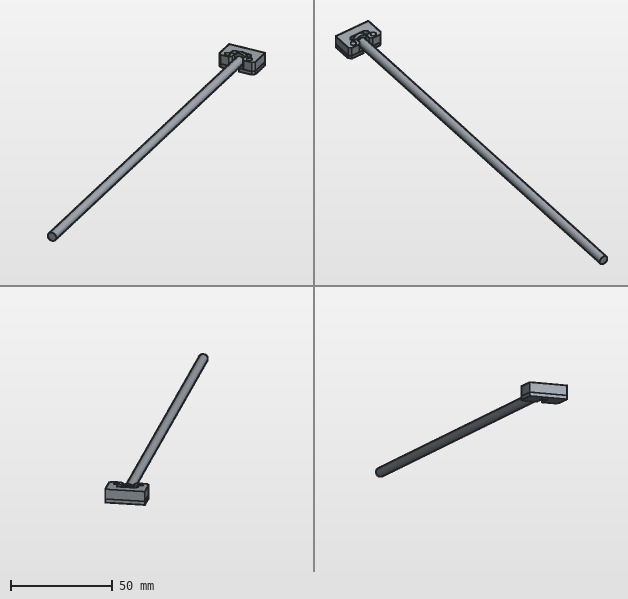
import cadquery as cq

total_length = 212.0
block_width = 20.0
block_depth = 11.9
block_height = 7.0
plate_thickness = 2.0
housing_height = block_height - plate_thickness
corner_chamfer = 1.3
front_y = -block_depth

cable_diameter = 4.7
cable_axis_z = 4.0
stop_diameter = 7.6
stop_length = 2.8
stop_back_chamfer = 0.6
stop_back_y = -5.0
stop_front_y = stop_back_y - stop_length

pocket_width = 10.5
pocket_back_y = -4.9
pocket_front_y = stop_front_y
pocket_fillet = 1.7
slot_width = 5.7
slot_mouth_chamfer = 1.3

notch_width = 3.0

pin_diameter = 2.8
pin_spacing = 12.0
pin_front_distance = 2.3
pin_y = front_y + pin_front_distance
pin_side_x = pin_spacing / 2


def chamfered_slab(bottom_z, height):
    """Rectangular slab with chamfered front corners."""
    slab = cq.Workplane("XY").box(block_width, block_depth, height, centered=(True, False, False))
    slab = slab.translate((0, front_y, bottom_z))
    return slab.edges("|Z and <Y").chamfer(corner_chamfer)


def cylinder_along_y(diameter, back_y, length):
    """Cylinder on the cable axis, running from back_y toward -Y."""
    plane = cq.Plane(origin=(0, back_y, cable_axis_z), xDir=(1, 0, 0), normal=(0, -1, 0))
    return cq.Workplane(plane).circle(diameter / 2).extrude(length)


def make_pin(x):
    """Upright pin, flush with the top of the housing and standing on the plate."""
    pin = cq.Workplane("XY", origin=(x, pin_y, plate_thickness))
    return pin.circle(pin_diameter / 2).extrude(housing_height)


def make_cable():
    """Long round cable with its thicker end stop, chamfered at the back."""
    cable = cylinder_along_y(cable_diameter, stop_front_y, total_length + stop_front_y)
    stop = cylinder_along_y(stop_diameter, stop_back_y, stop_length)
    stop = stop.faces(">Y").chamfer(stop_back_chamfer)
    return cable.union(stop)


def make_pocket():
    """Volume around the end stop, with rounded back corners."""
    pocket_length = pocket_back_y - pocket_front_y
    pocket = cq.Workplane("XY").box(pocket_width, pocket_length, housing_height, centered=(True, False, False))
    pocket = pocket.translate((0, pocket_front_y, plate_thickness))
    return pocket.edges("|Z and >Y").fillet(pocket_fillet)


def make_slot():
    """Volume of the cable slot, widening at its mouth."""
    half_width = slot_width / 2
    half_mouth = half_width + slot_mouth_chamfer
    mouth_back_y = front_y + slot_mouth_chamfer
    outline = [
        (-half_width, pocket_front_y),
        (-half_width, mouth_back_y),
        (-half_mouth, front_y),
        (half_mouth, front_y),
        (half_width, mouth_back_y),
        (half_width, pocket_front_y),
    ]
    slot = cq.Workplane("XY", origin=(0, 0, plate_thickness))
    return slot.polyline(outline).close().extrude(housing_height)


def make_plate_notch():
    """Volume of the open notch that runs from the plate's front to the pocket's back."""
    notch_length = pocket_back_y - front_y
    notch = cq.Workplane("XY").box(notch_width, notch_length, plate_thickness, centered=(True, False, False))
    return notch.translate((0, front_y, 0))


cable = make_cable()
pins = [make_pin(side * pin_side_x) for side in (-1, 1)]

housing = chamfered_slab(plate_thickness, housing_height)
housing = housing.cut(make_pocket()).cut(make_slot())
for pin in pins:
    housing = housing.cut(pin)

plate = chamfered_slab(0, plate_thickness).cut(make_plate_notch()).cut(cable)

result = cq.Compound.makeCompound([
    housing.val(),
    plate.val(),
    cable.val(),
    *[pin.val() for pin in pins],
])